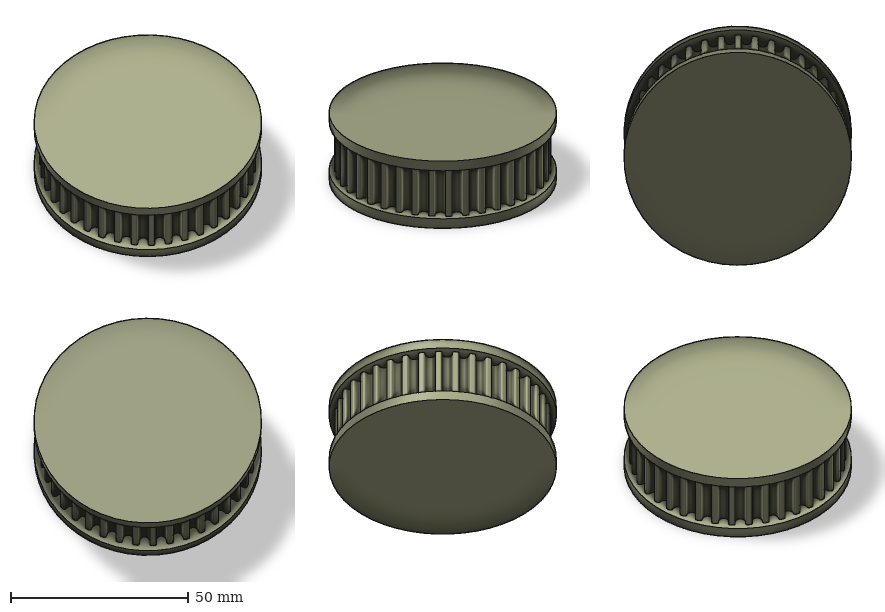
import cadquery as cq
import math

flange_diameter = 64.1
flange_thickness = 3.0
belt_width = 15.0

tooth_count = 39
rim_diameter = 60.9
groove_depth = 2.75
groove_radius = 1.5
tip_fillet = 0.6

rim_radius = rim_diameter / 2
groove_floor = rim_radius - groove_depth
groove_center = groove_floor + groove_radius
pitch_angle = 360.0 / tooth_count
first_groove_angle = -90.0 + pitch_angle / 2


def disc(diameter, base_height, thickness):
    """Plain round disc standing on the given height."""
    return cq.Workplane("XY", origin=(0, 0, base_height)).circle(diameter / 2).extrude(thickness)


def groove(angle):
    """Cutter for one U-shaped groove: round floor, parallel walls, open past the rim."""
    open_end = rim_radius + groove_radius
    return (
        cq.Workplane("XY", origin=(0, 0, flange_thickness))
        .moveTo(open_end, -groove_radius)
        .lineTo(groove_center, -groove_radius)
        .threePointArc((groove_floor, 0), (groove_center, groove_radius))
        .lineTo(open_end, groove_radius)
        .close()
        .extrude(belt_width)
        .rotate((0, 0, 0), (0, 0, 1), angle)
    )


def is_tooth_corner(edge):
    """True for upright edges nearer to the rim surface than to the groove centres."""
    distance_from_axis = math.hypot(edge.Center().x, edge.Center().y)
    return distance_from_axis > (rim_radius + groove_center) / 2


def toothed_rim():
    """Disc cut by evenly spaced grooves, with rounded tooth tips."""
    rim = disc(rim_diameter, flange_thickness, belt_width)
    for index in range(tooth_count):
        rim = rim.cut(groove(first_groove_angle + index * pitch_angle))
    return rim.edges("|Z").filter(is_tooth_corner).fillet(tip_fillet)


lower_flange = disc(flange_diameter, 0, flange_thickness)
upper_flange = disc(flange_diameter, flange_thickness + belt_width, flange_thickness)
result = lower_flange.union(toothed_rim()).union(upper_flange)